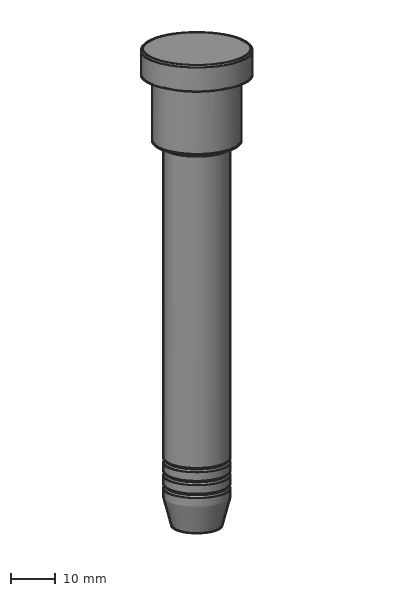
import cadquery as cq
import math

total_length = 112.0
head_diameter = 25.0
head_height = 6.0
collar_diameter = 20.0
collar_height = 15.9
shank_diameter = 15.0

head_chamfer = 0.5
collar_chamfer = 0.5
collar_relief_depth = 0.5
collar_relief_top_depth = 0.2
collar_relief_drop = 0.5
collar_relief_width = 0.9
shank_relief_depth = 0.6
shank_relief_width = 1.0

tip_length = 7.0
tip_half_angle = 15.0
tip_fillet = 0.7
groove_count = 3
groove_depth = 0.5
groove_pitch = 3.0
lowest_groove_z = 9.5

head_radius = head_diameter / 2
collar_radius = collar_diameter / 2
shank_radius = shank_diameter / 2
head_bottom = total_length - head_height
collar_bottom = head_bottom - collar_height
tip_radius = shank_radius - tip_length * math.tan(math.radians(tip_half_angle))


def cylinder(radius, bottom, top):
    """Solid cylinder on the Z axis between two heights."""
    return cq.Workplane("XY").workplane(offset=bottom).circle(radius).extrude(top - bottom)


def revolved(profile):
    """Solid of revolution from (radius, height) points."""
    return cq.Workplane("XZ").polyline(profile).close().revolve(360, (0, 0, 0), (0, 1, 0))


def ring_groove(z):
    """Right-angled V groove around the shank, to be cut away."""
    return revolved(
        [
            (shank_radius, z - groove_depth),
            (shank_radius - groove_depth, z),
            (shank_radius, z + groove_depth),
        ]
    )


head = cylinder(head_radius, head_bottom, total_length).faces(">Z").chamfer(head_chamfer)

collar = cylinder(collar_radius, collar_bottom, head_bottom).faces("<Z").chamfer(collar_chamfer)
collar_relief = revolved(
    [
        (collar_radius, head_bottom),
        (collar_radius - collar_relief_top_depth, head_bottom),
        (collar_radius - collar_relief_depth, head_bottom - collar_relief_drop),
        (collar_radius, head_bottom - collar_relief_width),
    ]
)
collar = collar.cut(collar_relief)

shank_top = collar_bottom - shank_relief_width
shank = cylinder(shank_radius, tip_length, shank_top)
neck = cylinder(shank_radius - shank_relief_depth, shank_top, collar_bottom)
for index in range(groove_count):
    shank = shank.cut(ring_groove(lowest_groove_z + index * groove_pitch))

tip_profile = [(0, 0), (tip_radius, 0), (shank_radius, tip_length), (0, tip_length)]
tip = revolved(tip_profile).faces("<Z").edges().fillet(tip_fillet)

result = head.union(collar).union(neck).union(shank).union(tip)